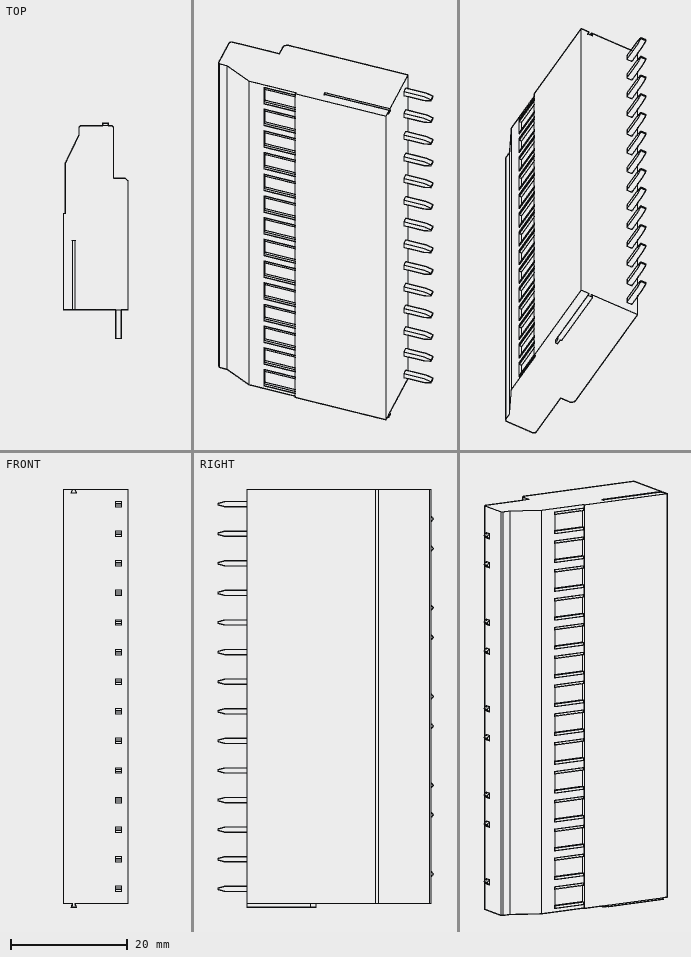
import cadquery as cq

pole_count = 14
overall_length = 71.7
rail_height = 0.63
body_length = overall_length - rail_height
pitch = body_length / pole_count
body_width = 11.1
body_height = 31.6

step_depth = 0.3
step_y = 16.6
upper_side_height = 1.65
slope_height = 4.9
slope_end_y = body_height - upper_side_height
slope_start_y = slope_end_y - slope_height
top_left_x = 2.65
shoulder_x = 8.6
shoulder_drop = 9.05
shoulder_y = body_height - shoulder_drop
shoulder_chamfer = 0.5
top_chamfer = 0.3

recess_top_y = 22.4
border_height = 3.8
border_depth = 0.1
pocket_height = 2.95
pocket_depth = 0.5

pin_x = 9.5
pin_width = 1.0
pin_thickness = 0.9
pin_length = 4.95
pin_taper = 1.2
pin_tip = 0.3

rail_x = 1.8
rail_length = 11.9
rail_neck = 0.4
rail_head = 0.9
rail_lead_in = 0.9

ridge_x = 7.25
ridge_width = 1.0
ridge_base = 0.9
ridge_height = 0.4
ridge_group = 3

body_bottom = rail_height
pole_positions = [body_bottom + pitch * (i + 0.5) for i in range(pole_count)]
ridge_positions = [
    overall_length - pitch * gap for gap in range(1, pole_count) if gap % ridge_group != 0
]


def make_body():
    return (
        cq.Workplane("XY", origin=(0, 0, body_bottom))
        .polyline([
            (0, 0),
            (body_width, 0),
            (body_width, shoulder_y - shoulder_chamfer),
            (body_width - shoulder_chamfer, shoulder_y),
            (shoulder_x, shoulder_y),
            (shoulder_x, body_height - top_chamfer),
            (shoulder_x - top_chamfer, body_height),
            (top_left_x + top_chamfer, body_height),
            (top_left_x, body_height - top_chamfer),
            (top_left_x, slope_end_y),
            (step_depth, slope_start_y),
            (step_depth, step_y),
            (0, step_y),
        ])
        .close()
        .extrude(body_length)
    )


def make_recess(z):
    length = recess_top_y - step_y

    def block(depth, height):
        return cq.Workplane("XY").box(
            step_depth + depth, length, height, centered=(False, False, True)
        )

    recess = block(border_depth, border_height).union(block(pocket_depth, pocket_height))
    return recess.translate((0, step_y, z))


def make_pin(z):
    half = pin_thickness / 2
    half_tip = pin_tip / 2
    taper_y = pin_taper - pin_length
    return (
        cq.Workplane("YZ", origin=(pin_x - pin_width / 2, 0, z))
        .polyline([
            (0, -half),
            (0, half),
            (taper_y, half),
            (-pin_length, half_tip),
            (-pin_length, -half_tip),
            (taper_y, -half),
        ])
        .close()
        .extrude(pin_width)
    )


def make_dovetail(length, top_z):
    """Dovetail bar along Y, narrow at top_z and wide at its lower side."""
    return (
        cq.Workplane("XZ", origin=(rail_x, 0, top_z))
        .polyline([
            (-rail_neck / 2, 0),
            (rail_neck / 2, 0),
            (rail_head / 2, -rail_height),
            (-rail_head / 2, -rail_height),
        ])
        .close()
        .extrude(-length)
    )


def make_rail():
    dovetail = make_dovetail(rail_length - rail_lead_in, body_bottom)
    lead_in = (
        cq.Workplane("XY")
        .box(rail_neck, rail_length, rail_height, centered=(True, False, False))
        .translate((rail_x, 0, 0))
    )
    return dovetail.union(lead_in)


def make_groove():
    return make_dovetail(rail_length, overall_length)


def make_ridge(z):
    return (
        cq.Workplane("YZ", origin=(ridge_x - ridge_width / 2, 0, z))
        .polyline([
            (body_height, -ridge_base / 2),
            (body_height + ridge_height, 0),
            (body_height, ridge_base / 2),
        ])
        .close()
        .extrude(ridge_width)
    )


result = make_body().union(make_rail())
for z in pole_positions:
    result = result.cut(make_recess(z)).union(make_pin(z))
for z in ridge_positions:
    result = result.union(make_ridge(z))
result = result.cut(make_groove())